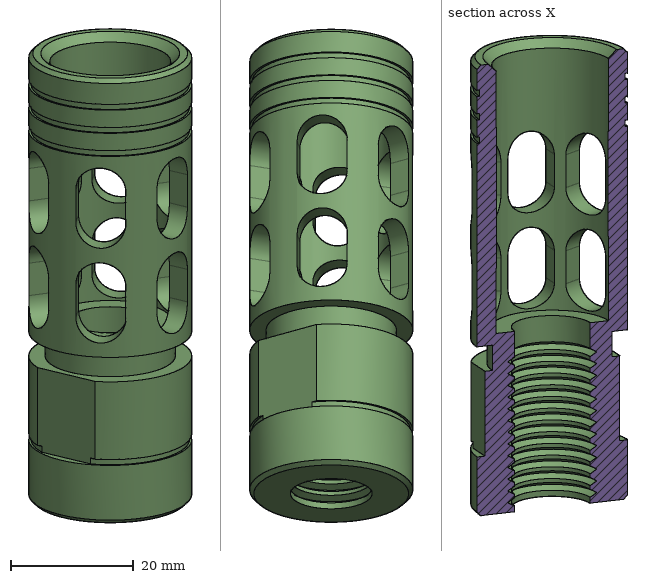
import cadquery as cq
import math

length = 76.3
outer_radius = 13.3
end_chamfer = 0.7

chamber_radius = 9.85
chamber_floor = 30.6
mouth_radius = 11.3
mouth_depth = 1.4
bore_radius = 6.65

thread_pitch = 2.0
thread_depth = 1.15
thread_top = 26.2
thread_flank_angle = 30.0

ring_width = 1.0
ring_depth = 0.4
ring_pitch = 4.0
ring_count = 3
first_ring_bottom = 63.1
relief_bottom = 10.1

neck_radius = 10.6
neck_bottom = 24.4
neck_top = 28.6

flat_distance = 11.9

port_width = 8.2
port_length = 13.7
port_pitch = 16.25
lower_port_center = 37.9
port_rows = 2
ports_per_row = 6

clearance = 0.8


def disc(radius, bottom, height):
    return cq.Workplane("XY").workplane(offset=bottom).circle(radius).extrude(height)


def outer_ring(inner_radius, bottom, height):
    """Ring of material reaching from inner_radius to beyond the outer surface."""
    return disc(outer_radius + clearance, bottom, height).cut(disc(inner_radius, bottom, height))


def sleeve():
    body = disc(outer_radius, 0, length)
    return body.faces("<Z or >Z").edges().chamfer(end_chamfer)


def bore_cutter():
    """Stepped bore with a conical mouth."""
    outline = [
        (0, 0),
        (bore_radius, 0),
        (bore_radius, chamber_floor),
        (chamber_radius, chamber_floor),
        (chamber_radius, length - mouth_depth),
        (mouth_radius, length),
        (0, length),
    ]
    return cq.Workplane("XZ").polyline(outline).close().revolve(360, (0, 0), (0, 1))


def thread_groove(top):
    """V-shaped groove around the rear bore, with its upper edge at the given height."""
    half_height = thread_depth * math.tan(math.radians(thread_flank_angle))
    outline = [
        (0, top),
        (bore_radius, top),
        (bore_radius + thread_depth, top - half_height),
        (bore_radius, top - 2 * half_height),
        (0, top - 2 * half_height),
    ]
    return cq.Workplane("XZ").polyline(outline).close().revolve(360, (0, 0), (0, 1))


def port(angle, center_height):
    """Radial obround port through one wall, long axis along Z."""
    cutter = (
        cq.Workplane("YZ")
        .center(0, center_height)
        .slot2D(port_length, port_width, 90)
        .extrude(outer_radius + clearance)
    )
    return cutter.rotate((0, 0, 0), (0, 0, 1), angle)


def wrench_flat(side):
    """Cutter for one flat; side is -1 or +1 along Y."""
    cut_depth = outer_radius
    return (
        cq.Workplane("XY")
        .box(2 * outer_radius, cut_depth, neck_bottom - relief_bottom, centered=(True, True, False))
        .translate((0, side * (flat_distance + cut_depth / 2), relief_bottom))
    )


result = sleeve()
result = result.cut(outer_ring(neck_radius, neck_bottom, neck_top - neck_bottom))

ring_bottoms = [first_ring_bottom + i * ring_pitch for i in range(ring_count)]
for bottom in ring_bottoms + [relief_bottom]:
    result = result.cut(outer_ring(outer_radius - ring_depth, bottom, ring_width))

for side in (-1, 1):
    result = result.cut(wrench_flat(side))

result = result.cut(bore_cutter())

for i in range(math.floor(thread_top / thread_pitch)):
    result = result.cut(thread_groove(thread_top - i * thread_pitch))

for row in range(port_rows):
    for i in range(ports_per_row):
        result = result.cut(port(i * 360 / ports_per_row, lower_port_center + row * port_pitch))